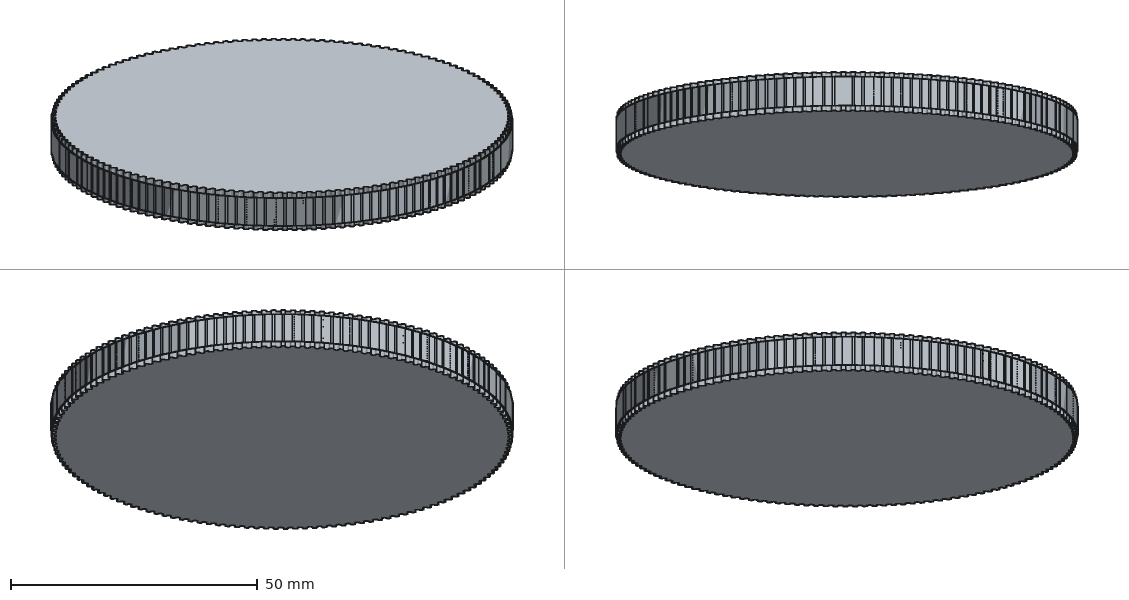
import cadquery as cq
import math

outer_diameter = 93.6
total_height = 8.0
band_height = 6.0
band_thickness = 0.25
groove_count = 147
groove_radius = 0.6
groove_depth = 0.78
tooth_rounding = 0.21
first_groove_angle = -90.0

tooth_tip_radius = outer_diameter / 2 - band_thickness
groove_centre_radius = tooth_tip_radius - groove_depth + groove_radius
rounding_across = groove_radius + tooth_rounding
rounding_along = math.sqrt((tooth_tip_radius - tooth_rounding) ** 2 - rounding_across**2)
rounding_end_angle = math.degrees(math.atan2(rounding_across, rounding_along))
rounding_middle_direction = math.radians((rounding_end_angle - 90.0) / 2)
rounding_middle_along = rounding_along + tooth_rounding * math.cos(rounding_middle_direction)
rounding_middle_across = rounding_across + tooth_rounding * math.sin(rounding_middle_direction)
groove_pitch_angle = 360.0 / groove_count
band_bottom = (total_height - band_height) / 2


def disc_point(along, across, angle):
    """Point at a radial and a sideways distance, measured from the direction of angle."""
    turn = math.radians(angle)
    x = along * math.cos(turn) - across * math.sin(turn)
    y = along * math.sin(turn) + across * math.cos(turn)
    return x, y


def toothed_disc():
    """Solid disc with round-bottomed grooves running through its full height."""
    first_tip_end = disc_point(tooth_tip_radius, 0, first_groove_angle - rounding_end_angle)
    outline = cq.Workplane("XY").moveTo(*first_tip_end)
    for index in range(groove_count):
        angle = first_groove_angle + index * groove_pitch_angle
        next_angle = angle + groove_pitch_angle
        middle_of_tooth = angle + groove_pitch_angle / 2
        outline = (
            outline.threePointArc(
                disc_point(rounding_middle_along, -rounding_middle_across, angle),
                disc_point(rounding_along, -groove_radius, angle),
            )
            .lineTo(*disc_point(groove_centre_radius, -groove_radius, angle))
            .threePointArc(
                disc_point(groove_centre_radius - groove_radius, 0, angle),
                disc_point(groove_centre_radius, groove_radius, angle),
            )
            .lineTo(*disc_point(rounding_along, groove_radius, angle))
            .threePointArc(
                disc_point(rounding_middle_along, rounding_middle_across, angle),
                disc_point(tooth_tip_radius, 0, angle + rounding_end_angle),
            )
            .threePointArc(
                disc_point(tooth_tip_radius, 0, middle_of_tooth),
                disc_point(tooth_tip_radius, 0, next_angle - rounding_end_angle),
            )
        )
    return outline.close().extrude(total_height)


def band():
    """Thin ring around the tooth tips, centred in height, leaving the grooves open behind it."""
    return (
        cq.Workplane("XY")
        .workplane(offset=band_bottom)
        .circle(outer_diameter / 2)
        .circle(tooth_tip_radius)
        .extrude(band_height)
    )


result = toothed_disc().union(band())